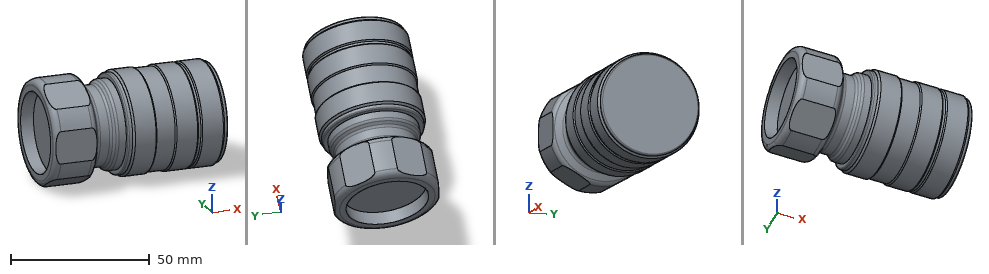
import cadquery as cq
import math

total_length = 67.2

nut_radius = 40.0 / 2
nut_sides = 6
nut_across_flats = 38.0
nut_round = 2.5
rear_round_start = 14.45
bore_radius = 30.3 / 2
bore_depth = 5.0

neck_radius = 30.0 / 2
nut_cone_angle = math.radians(65)
neck_fillet = 1.55
shoulder_radius = 33.5 / 2
shoulder_cone_end = 25.2
shoulder_fillet = 1.5

sleeve_start = 28.6
collar_radius = 37.5 / 2
collar_round = 0.5
groove_radius = 38.0 / 2
band_radius = 39.0 / 2
band_length = 8.0
band_starts = (31.1, 47.15, 57.1)


def revolve_about_x(profile):
    return profile.close().revolve(360, (0, 0, 0), (1, 0, 0))


def make_nut_and_neck():
    """Rounded nut blank, cone, neck and shoulder as one turned body."""
    tangent_x = rear_round_start + nut_round * math.sin(nut_cone_angle)
    tangent_radius = nut_radius - nut_round * (1 - math.cos(nut_cone_angle))
    arc_middle_x = rear_round_start + nut_round * math.sin(nut_cone_angle / 2)
    arc_middle_radius = nut_radius - nut_round * (1 - math.cos(nut_cone_angle / 2))
    cone_end = tangent_x + (tangent_radius - neck_radius) / math.tan(nut_cone_angle)
    shoulder_cone_start = shoulder_cone_end - (shoulder_radius - neck_radius)
    front_round_middle = nut_round * (1 - math.sqrt(0.5))

    body = revolve_about_x(
        cq.Workplane("XY")
        .lineTo(0, nut_radius - nut_round)
        .threePointArc((front_round_middle, nut_radius - front_round_middle), (nut_round, nut_radius))
        .lineTo(rear_round_start, nut_radius)
        .threePointArc((arc_middle_x, arc_middle_radius), (tangent_x, tangent_radius))
        .lineTo(cone_end, neck_radius)
        .lineTo(shoulder_cone_start, neck_radius)
        .lineTo(shoulder_cone_end, shoulder_radius)
        .lineTo(sleeve_start, shoulder_radius)
        .lineTo(sleeve_start, 0)
    )

    def circle_at(x, radius):
        reach = 0.01
        return cq.selectors.BoxSelector(
            (x - reach, -radius - reach, -radius - reach),
            (x + reach, radius + reach, radius + reach),
            boundingbox=True,
        )

    body = body.edges(circle_at(cone_end, neck_radius)).fillet(neck_fillet)
    body = body.edges(circle_at(shoulder_cone_start, neck_radius)).fillet(shoulder_fillet)
    return body.edges(circle_at(shoulder_cone_end, shoulder_radius)).fillet(shoulder_fillet)


def cut_flats(body):
    """Six flats on the nut, two of them facing -Y and +Y."""
    flat_depth = nut_radius - nut_across_flats / 2
    flat_end = rear_round_start + nut_round
    cutter = cq.Workplane("XY").box(flat_end, flat_depth, 2 * nut_radius, centered=(False, False, True))
    cutter = cutter.translate((0, nut_across_flats / 2, 0))
    for index in range(nut_sides):
        body = body.cut(cutter.rotate((0, 0, 0), (1, 0, 0), index * 360 / nut_sides))
    return body


def make_sleeve():
    """Sleeve whose bands rise from collars and grooves over 45 degree ramps."""
    profile = cq.Workplane("XY").moveTo(sleeve_start, 0).lineTo(sleeve_start, collar_radius)
    last_band = len(band_starts) - 1
    for index, start in enumerate(band_starts):
        end = start + band_length
        radius_before = collar_radius if index == 0 else groove_radius
        radius_after = collar_radius if index == last_band else groove_radius
        profile = profile.lineTo(start - (band_radius - radius_before), radius_before)
        profile = profile.lineTo(start, band_radius)
        profile = profile.lineTo(end, band_radius)
        profile = profile.lineTo(end + band_radius - radius_after, radius_after)
    profile = profile.lineTo(total_length, collar_radius).lineTo(total_length, 0)
    return revolve_about_x(profile).faces("<X or >X").edges().fillet(collar_round)


bore = cq.Workplane("YZ").circle(bore_radius).extrude(bore_depth)
result = cut_flats(make_nut_and_neck()).union(make_sleeve()).cut(bore)